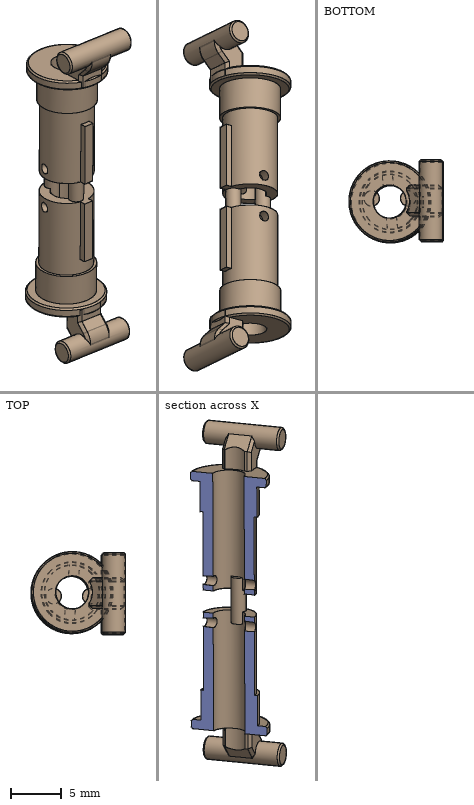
import cadquery as cq
import math

overall_height = 34.45

lean_x = 0.19
lean_y = 0.19

half_gap = 1.1
barrel_diameter = 5.4
shoulder_diameter = 6.0
shoulder_start = 9.05
flange_diameter = 8.0
flange_bottom = 12.13
flange_top = 13.13
flange_chamfer = 0.17
bore_diameter = 3.25

cross_hole_diameter = 1.0
cross_hole_height = 2.15
cross_hole_turn = 5.5

key_width = 1.05
key_reach = 3.27
key_top = 7.5

pin_diameter = 1.5
pin_spacing = 3.6
pin_offset_y = -0.35
pin_end = 2.35

bar_diameter = 2.3
bar_length = 8.0
bar_chamfer = 0.17
bar_x = 4.05
bar_end_rise = (bar_length / 2 - bar_chamfer) * math.sin(math.radians(lean_y))
bar_z = overall_height / 2 - bar_end_rise - bar_diameter / 2
handle_offset_y = -0.1
post_width = 3.03
post_inner_x = 1.7
post_outer_x = 3.85
post_inner_bend = 15.12
post_outer_bend = 13.65
post_nose_x = 5.17
post_nose_radius = 1.72
post_chamfer = 0.3
post_foot = flange_bottom + flange_chamfer
post_relief_radius = 1.95


def cylinder_z(diameter, bottom, top):
    return cq.Workplane("XY").workplane(offset=bottom).circle(diameter / 2).extrude(top - bottom)


def make_spool():
    barrel = cylinder_z(barrel_diameter, half_gap, flange_bottom)
    shoulder = cylinder_z(shoulder_diameter, shoulder_start, flange_bottom)
    flange = cylinder_z(flange_diameter, flange_bottom, flange_top).edges().chamfer(flange_chamfer)
    key = (
        cq.Workplane("XY")
        .box(key_reach, key_width, key_top - half_gap, centered=(False, True, False))
        .translate((0, 0, half_gap))
    )
    bore = cylinder_z(bore_diameter, half_gap, flange_top)
    cross_hole = (
        cq.Workplane("XZ", origin=(0, 0, cross_hole_height))
        .circle(cross_hole_diameter / 2)
        .extrude(flange_diameter / 2, both=True)
        .rotate((0, 0, 0), (0, 0, 1), -cross_hole_turn)
    )
    return barrel.union(shoulder).union(flange).union(key).cut(bore).cut(cross_hole)


def make_post():
    slant_run = (bar_x - post_inner_x + bar_z - post_inner_bend) / 2
    slant_end = (post_inner_x + slant_run, post_inner_bend + slant_run)
    nose_rise = post_nose_radius * math.sin(math.radians(45))
    corner_x = post_nose_x - post_nose_radius + nose_rise
    corner = (corner_x, post_outer_bend + corner_x - post_outer_x)
    nose = (post_nose_x, corner[1] + nose_rise)
    post = (
        cq.Workplane("XZ")
        .moveTo(post_inner_x, post_foot)
        .lineTo(post_inner_x, post_inner_bend)
        .lineTo(*slant_end)
        .lineTo(post_nose_x, bar_z)
        .lineTo(*nose)
        .tangentArcPoint(corner, relative=False)
        .lineTo(post_outer_x, post_outer_bend)
        .lineTo(post_outer_x, post_foot)
        .close()
        .extrude(post_width / 2, both=True)
    )
    post = post.faces("<Y or >Y").chamfer(post_chamfer)
    return post.translate((0, handle_offset_y, 0))


def make_handle():
    bar = (
        cq.Workplane("XZ", origin=(bar_x, handle_offset_y, bar_z))
        .circle(bar_diameter / 2)
        .extrude(bar_length / 2, both=True)
        .edges("%CIRCLE")
        .chamfer(bar_chamfer)
    )
    relief = cylinder_z(2 * post_relief_radius, flange_bottom, bar_z)
    return make_post().cut(relief).union(bar)


def make_pins():
    return (
        cq.Workplane("XY")
        .pushPoints([(side * pin_spacing / 2, pin_offset_y) for side in (-1, 1)])
        .circle(pin_diameter / 2)
        .extrude(pin_end, both=True)
    )


upper_half = make_spool().union(make_handle())
lower_half = upper_half.mirror("XY")
pins = make_pins()
result = upper_half.union(lower_half).union(pins)
result = result.rotate((0, 0, 0), (0, 1, 0), lean_x).rotate((0, 0, 0), (1, 0, 0), -lean_y)